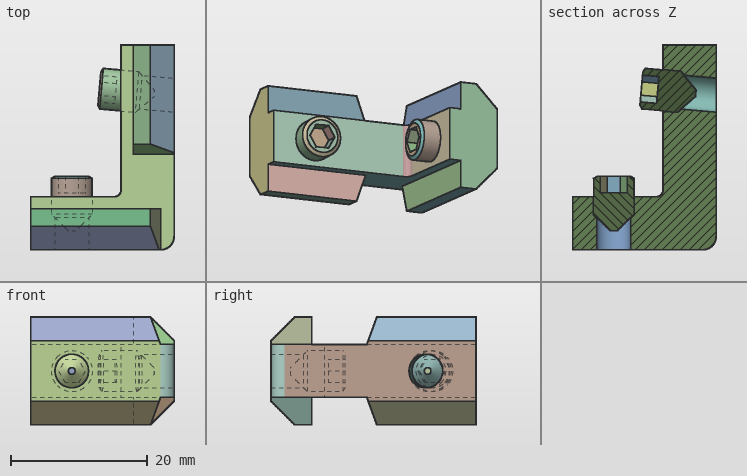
import cadquery as cq
import math

size_x = 21.0
size_y = 30.0
leg_depth = 7.8
web_height = 7.75
outer_radius = 2.0
inner_radius = 1.0

flange_height = 15.8
flange_depth = 6.0
flange_chamfer = 3.48
end_angle = 20.0
x_flange_length = size_x - outer_radius
y_flange_length = 16.0

screw_diameter = 6.0
screw_length = 8.0
tip_diameter = 1.0
tip_length = (screw_diameter - tip_diameter) / 2
rim_chamfer_width = 0.57
rim_chamfer_depth = 0.33
socket_corners = 3.9
socket_depth = 2.4
bore_diameter = 4.92

screw_end_distance = 6.0
x_screw_protrusion = 3.0
y_screw_protrusion = 3.18
y_screw_tilt = 5.0
y_screw_face_y = 23.35


def make_web():
    """L-shaped plate with a rounded outer corner and a filleted inner corner."""
    inner_x = size_x - leg_depth
    outline = [
        (0, 0),
        (size_x, 0),
        (size_x, size_y),
        (inner_x, size_y),
        (inner_x, leg_depth),
        (0, leg_depth),
    ]
    web = cq.Workplane("XY").polyline(outline).close().extrude(web_height / 2, both=True)
    web = web.edges(cq.selectors.NearestToPointSelector((size_x, 0, 0))).fillet(outer_radius)
    return web.edges(cq.selectors.NearestToPointSelector((inner_x, leg_depth, 0))).fillet(inner_radius)


def make_flange(length):
    """Chamfered flange along X, outer face at Y = 0, with a sloped end at X = length."""
    half_height = flange_height / 2
    face_half_height = half_height - flange_chamfer
    section = [
        (0, -face_half_height),
        (flange_chamfer, -half_height),
        (flange_depth, -half_height),
        (flange_depth, half_height),
        (flange_chamfer, half_height),
        (0, face_half_height),
    ]
    bar = cq.Workplane("YZ").polyline(section).close().extrude(length)

    slope_run = (half_height - web_height / 2) * math.tan(math.radians(end_angle))
    side = [
        (0, -half_height),
        (length - slope_run, -half_height),
        (length, -web_height / 2),
        (length, web_height / 2),
        (length - slope_run, half_height),
        (0, half_height),
    ]
    side_block = cq.Workplane("XZ").polyline(side).close().extrude(-flange_depth)
    return bar.intersect(side_block)


def place_on_y_leg(flange):
    """Turn an X-leg flange over so that it runs down the Y leg from its free end."""
    return flange.rotate((0, 0, 0), (1, -1, 0), 180).translate((size_x, size_y, 0))


def head_plane(face_point, direction, protrusion):
    """Plane on the socket end of a screw, with its normal pointing out of the bracket."""
    origin = cq.Vector(*face_point) + direction * protrusion
    return cq.Plane(origin=origin, xDir=direction.cross(cq.Vector(0, 0, 1)), normal=direction)


def make_screw_envelope(plane):
    """Solid outline of a set screw without its socket."""
    radius = screw_diameter / 2
    half_section = [
        (0, 0),
        (radius - rim_chamfer_width, 0),
        (radius, -rim_chamfer_depth),
        (radius, tip_length - screw_length),
        (tip_diameter / 2, -screw_length),
        (0, -screw_length),
    ]
    turning_plane = cq.Plane(origin=plane.origin, xDir=plane.xDir, normal=plane.xDir.cross(plane.zDir))
    return (
        cq.Workplane(turning_plane)
        .polyline(half_section)
        .close()
        .revolve(360, (0, 0), (0, 1))
    )


def make_set_screw(plane):
    """Set screw with a hexagon socket."""
    socket = cq.Workplane(plane).polygon(6, socket_corners).extrude(-socket_depth)
    return make_screw_envelope(plane).cut(socket)


def make_bore(plane):
    """Straight bore through a leg, opened out to seat the screw."""
    bore_length = 2 * leg_depth
    bore = cq.Workplane(plane).circle(bore_diameter / 2).extrude(-bore_length)
    return bore.union(make_screw_envelope(plane))


def make_bracket(screw_planes):
    bracket = make_web()
    bracket = bracket.union(make_flange(x_flange_length))
    bracket = bracket.union(place_on_y_leg(make_flange(y_flange_length)))
    for plane in screw_planes:
        bracket = bracket.cut(make_bore(plane))
    return bracket


x_screw_plane = head_plane((screw_end_distance, leg_depth, 0), cq.Vector(0, 1, 0), x_screw_protrusion)
tilt = math.radians(y_screw_tilt)
y_screw_direction = cq.Vector(-math.cos(tilt), math.sin(tilt), 0)
y_screw_plane = head_plane((size_x - leg_depth, y_screw_face_y, 0), y_screw_direction, y_screw_protrusion)
screw_planes = [x_screw_plane, y_screw_plane]

bracket = make_bracket(screw_planes)
set_screws = [make_set_screw(plane) for plane in screw_planes]

result = cq.Compound.makeCompound([bracket.val(), *[screw.val() for screw in set_screws]])